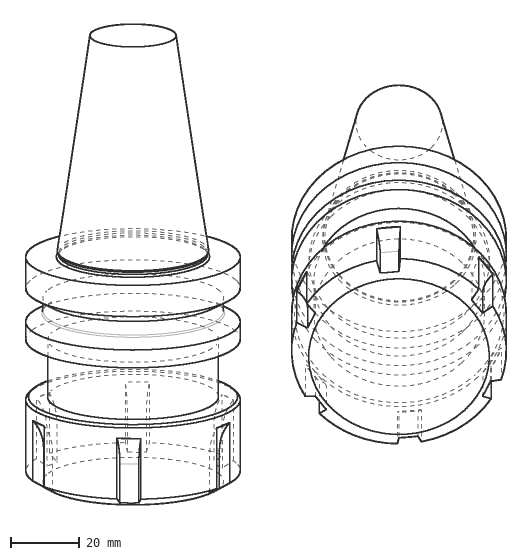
import cadquery as cq
import math

total_height = 135.4
gauge_height = 70.0
flange_top = 68.1
flange_bottom = 43.0
nut_height = 25.6

flange_radius = 63.0 / 2
groove_radius = 53.0 / 2
nut_radius = flange_radius
nut_end_radius = groove_radius
body_radius = 25.0
neck_radius = 21.8
gauge_radius = 22.2

taper_ratio = 7 / 24
tip_radius = gauge_radius - taper_ratio / 2 * (total_height - gauge_height)

groove_lower_edge = 48.5
groove_upper_edge = 58.6
groove_slope_height = 2.8
groove_fillet = 0.7

nut_lower_chamfer_height = 3.1
nut_upper_chamfer_height = 0.8
nut_upper_chamfer_depth = 0.8

neck_top = 69.5
neck_flare = 0.7

slot_count = 6
first_slot_angle = -90
slot_top = 21.5
slot_straight_top = 13.0
slot_floor_radius = 28.2
slot_floor_width = 5.5
slot_mouth_width = 7.0
cut_margin = 1.4


def make_turned_body():
    """Taper, flange, body and nut as one revolved profile."""
    profile = [
        (0, 0),
        (nut_end_radius, 0),
        (nut_radius, nut_lower_chamfer_height),
        (nut_radius, nut_height - nut_upper_chamfer_height),
        (nut_radius - nut_upper_chamfer_depth, nut_height),
        (body_radius, nut_height),
        (body_radius, flange_bottom),
        (flange_radius, flange_bottom),
        (flange_radius, groove_lower_edge),
        (groove_radius, groove_lower_edge + groove_slope_height),
        (groove_radius, groove_upper_edge - groove_slope_height),
        (flange_radius, groove_upper_edge),
        (flange_radius, flange_top),
        (neck_radius + neck_flare, flange_top),
        (neck_radius, flange_top + neck_flare),
        (neck_radius, neck_top),
        (gauge_radius, gauge_height),
        (tip_radius, total_height),
        (0, total_height),
    ]
    turned = cq.Workplane("XZ").polyline(profile).close().revolve(360, (0, 0), (0, 1))
    lower_corner_height = groove_lower_edge + groove_slope_height
    lower_groove_corner = cq.selectors.BoxSelector(
        (-flange_radius, -flange_radius, lower_corner_height - groove_fillet),
        (flange_radius, flange_radius, lower_corner_height + groove_fillet),
    )
    return turned.edges("%CIRCLE").edges(lower_groove_corner).fillet(groove_fillet)


def make_slot_cutter():
    """Slot along +X: tapered side walls and a floor that runs out in an arc."""
    mouth_distance = math.sqrt(nut_radius**2 - (slot_mouth_width / 2) ** 2)
    outer_limit = nut_radius + cut_margin
    half_width_slope = (slot_mouth_width - slot_floor_width) / 2 / (mouth_distance - slot_floor_radius)
    outer_half_width = slot_floor_width / 2 + half_width_slope * (outer_limit - slot_floor_radius)
    floor_half_width = slot_floor_width / 2

    wedge = (
        cq.Workplane("XY")
        .workplane(offset=-cut_margin)
        .polyline([
            (slot_floor_radius, -floor_half_width),
            (outer_limit, -outer_half_width),
            (outer_limit, outer_half_width),
            (slot_floor_radius, floor_half_width),
        ])
        .close()
        .extrude(slot_top + cut_margin)
    )

    depth = mouth_distance - slot_floor_radius
    rise = slot_top - slot_straight_top
    arc_radius = (rise**2 + depth**2) / (2 * depth)
    mid_angle = math.asin(rise / arc_radius) / 2
    arc_middle = (
        slot_floor_radius + arc_radius * (1 - math.cos(mid_angle)),
        slot_straight_top + arc_radius * math.sin(mid_angle),
    )
    side_profile = (
        cq.Workplane("XZ")
        .moveTo(slot_floor_radius, -cut_margin)
        .lineTo(slot_floor_radius, slot_straight_top)
        .threePointArc(arc_middle, (mouth_distance, slot_top))
        .lineTo(outer_limit, slot_top)
        .lineTo(outer_limit, -cut_margin)
        .close()
        .extrude(outer_half_width, both=True)
    )
    return wedge.intersect(side_profile)


result = make_turned_body()
slot_cutter = make_slot_cutter()
for index in range(slot_count):
    angle = first_slot_angle + index * 360 / slot_count
    result = result.cut(slot_cutter.rotate((0, 0, 0), (0, 0, 1), angle))